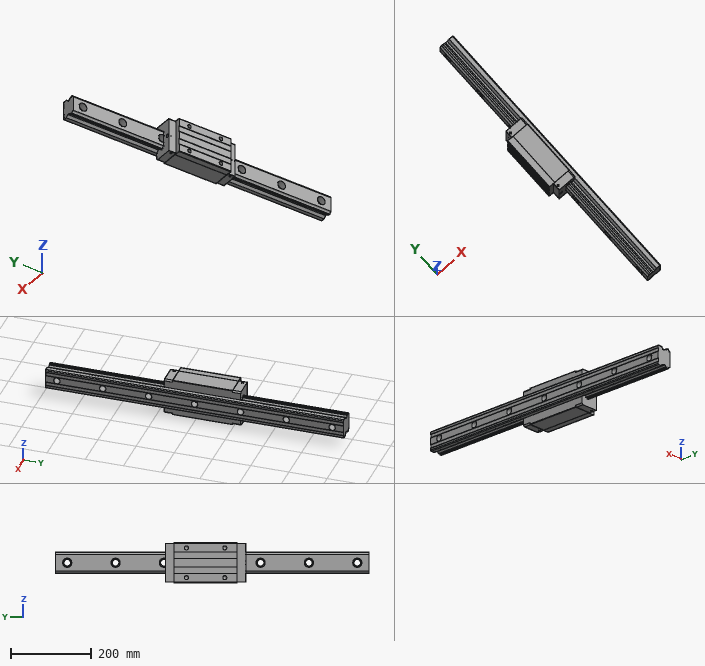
import cadquery as cq


overall_height = 80.0
rail_length = 780.0
carriage_width = 100.0

rail_top = 37.0
rail_half_width = 26.5
rail_cove_radius = 5.5
race_start = 47.0
race_ledge_end = 51.5
race_ledge_half_width = 24.0
race_floor_half_width = 20.0
race_floor_start = race_ledge_end + (race_ledge_half_width - race_floor_half_width)
race_floor_end = 61.0
race_end = race_floor_end + (rail_half_width - race_floor_half_width)
rail_foot_chamfer = 2.0
foot_groove_inner = 9.0
foot_groove_outer = 19.0
foot_groove_depth = 1.5

rail_hole_count = 7
rail_hole_pitch = 120.0
rail_bore_diameter = 16.0
rail_counterbore_diameter = 23.0
rail_counterbore_depth = 20.0

carriage_center = 16.0
body_length = 157.0
body_bottom = 67.0
body_chamfer = 1.5
shoulder_height = 19.0
shoulder_step = 0.4
top_groove_inner = 11.0
top_groove_outer = 27.0
top_groove_depth = 1.5

mount_spacing_y = 95.0
mount_spacing_z = 74.0
mount_hole_diameter = 10.0
mount_hole_depth = 17.0

cap_length = 22.0
cap_width = 97.0
cap_top = 14.0
cap_top_chamfer = 1.0
cap_bottom_chamfer = 4.0

grease_hole_diameter = 5.2
grease_hole_depth = 8.0
grease_hole_height = 20.0
end_hole_height = 21.0
end_hole_diameter = 8.5


def box_between(x_range, y_range, z_range):
    """Axis-aligned box spanning the given (low, high) ranges."""
    sizes = [high - low for low, high in (x_range, y_range, z_range)]
    corner = (x_range[0], y_range[0], z_range[0])
    return cq.Workplane("XY").box(*sizes, centered=False).translate(corner)


def cylinder(start, direction, diameter, length):
    """Solid cylinder from a start point along a direction."""
    solid = cq.Solid.makeCylinder(diameter / 2, length, cq.Vector(*start), cq.Vector(*direction))
    return cq.Workplane(obj=solid)


def cut_groove_pair(part, x_range, y_range, inner, outer):
    """Cut two rectangular grooves along Y, mirrored about Z = 0."""
    for z_range in ((inner, outer), (-outer, -inner)):
        part = part.cut(box_between(x_range, y_range, z_range))
    return part


def rail_bar():
    """Plain rail section, with coves and ball races, extruded to full length."""
    cove_end = rail_top + rail_cove_radius
    cove_half_width = rail_half_width - rail_cove_radius
    cove_mid = rail_cove_radius * 0.5 ** 0.5
    foot_corner = rail_half_width - rail_foot_chamfer
    races = [
        (race_start, rail_half_width),
        (race_start, race_ledge_half_width),
        (race_ledge_end, race_ledge_half_width),
        (race_floor_start, race_floor_half_width),
        (race_floor_end, race_floor_half_width),
        (race_end, rail_half_width),
        (overall_height - rail_foot_chamfer, rail_half_width),
        (overall_height, foot_corner),
    ]
    section = cq.Workplane("XZ", origin=(0, rail_length / 2, 0))
    section = section.moveTo(rail_top, -cove_half_width).lineTo(rail_top, cove_half_width)
    section = section.threePointArc(
        (rail_top + cove_mid, rail_half_width - cove_mid),
        (cove_end, rail_half_width),
    )
    for x, z in races:
        section = section.lineTo(x, z)
    for x, z in reversed(races):
        section = section.lineTo(x, -z)
    section = section.lineTo(cove_end, -rail_half_width)
    section = section.threePointArc(
        (rail_top + cove_mid, -rail_half_width + cove_mid),
        (rail_top, -cove_half_width),
    )
    return section.close().extrude(rail_length)


def make_rail():
    """Rail with seating-face grooves and a row of counterbored holes."""
    rail = cut_groove_pair(
        rail_bar(),
        (overall_height - foot_groove_depth, overall_height),
        (-rail_length / 2, rail_length / 2),
        foot_groove_inner,
        foot_groove_outer,
    )
    for index in range(rail_hole_count):
        y = (index - (rail_hole_count - 1) / 2) * rail_hole_pitch
        start = (rail_top, y, 0)
        rail = rail.cut(cylinder(start, (1, 0, 0), rail_bore_diameter, overall_height - rail_top))
        rail = rail.cut(cylinder(start, (1, 0, 0), rail_counterbore_diameter, rail_counterbore_depth))
    return rail


def carriage_body():
    """Chamfered block with stepped sides and two grooves in the mounting face."""
    half_width = carriage_width / 2
    y_range = (carriage_center - body_length / 2, carriage_center + body_length / 2)
    body = box_between((0, body_bottom), y_range, (-half_width, half_width))
    body = body.edges("|Y").chamfer(body_chamfer)
    side_x_range = (shoulder_height, body_bottom)
    body = cut_groove_pair(body, side_x_range, y_range, half_width - shoulder_step, half_width)
    return cut_groove_pair(body, (0, top_groove_depth), y_range, top_groove_inner, top_groove_outer)


def end_cap(side):
    """End cap on the +Y (side = 1) or -Y (side = -1) end, with its grease holes."""
    half_width = cap_width / 2
    inner_y = carriage_center + side * body_length / 2
    outer_y = inner_y + side * cap_length
    mid_y = (inner_y + outer_y) / 2
    cap = box_between((cap_top, body_bottom), sorted((inner_y, outer_y)), (-half_width, half_width))
    cap = cap.edges("|Y and <X").chamfer(cap_top_chamfer)
    cap = cap.edges("|Y and >X").chamfer(cap_bottom_chamfer)
    grease_holes = [
        ((end_hole_height, outer_y, 0), (0, -side, 0), end_hole_diameter),
        ((grease_hole_height, mid_y, half_width), (0, 0, -1), grease_hole_diameter),
        ((grease_hole_height, mid_y, -half_width), (0, 0, 1), grease_hole_diameter),
    ]
    for start, direction, diameter in grease_holes:
        cap = cap.cut(cylinder(start, direction, diameter, grease_hole_depth))
    return cap


def mount_hole_tool():
    """Blind hole along X from the origin, with a conical end."""
    hole_radius = mount_hole_diameter / 2
    outline = [
        (0, 0),
        (0, hole_radius),
        (mount_hole_depth, hole_radius),
        (mount_hole_depth + hole_radius, 0),
    ]
    return cq.Workplane("XY").polyline(outline).close().revolve(360, (0, 0, 0), (1, 0, 0))


def make_carriage():
    """Carriage body and end caps as one solid, with a channel that fits the rail."""
    carriage = carriage_body().union(end_cap(1)).union(end_cap(-1))
    carriage = carriage.cut(rail_bar())
    for side_y in (-1, 1):
        for side_z in (-1, 1):
            start = (0, carriage_center + side_y * mount_spacing_y / 2, side_z * mount_spacing_z / 2)
            carriage = carriage.cut(mount_hole_tool().translate(start))
    return carriage


rail = make_rail()
carriage = make_carriage()

result = cq.Compound.makeCompound([rail.val(), carriage.val()])